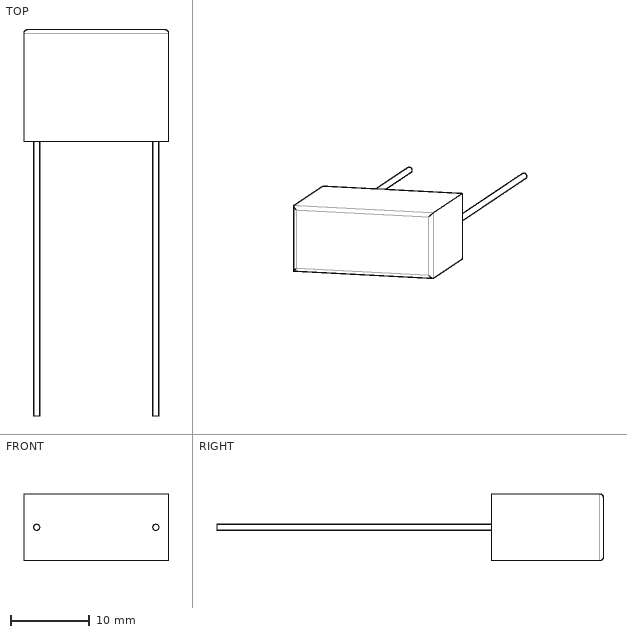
import cadquery as cq

total_length = 49.3
housing_width = 18.5
housing_length = 14.3
housing_height = 8.55
back_edge_radius = 0.5

lead_diameter = 0.8
lead_pitch = 15.2
lead_length = total_length - housing_length


def make_housing():
    """Box with its lead face on Y = 0 and rounded edges around its back face."""
    block = cq.Workplane("XY").box(
        housing_width, housing_length, housing_height, centered=(True, False, True)
    )
    return block.faces(">Y").edges().fillet(back_edge_radius)


def make_lead(center_x):
    """Straight round lead running in -Y from the lead face of the housing."""
    return cq.Workplane("XZ").center(center_x, 0).circle(lead_diameter / 2).extrude(lead_length)


housing = make_housing()
leads = [make_lead(side * lead_pitch / 2) for side in (-1, 1)]

result = cq.Compound.makeCompound([housing.val(), *[lead.val() for lead in leads]])